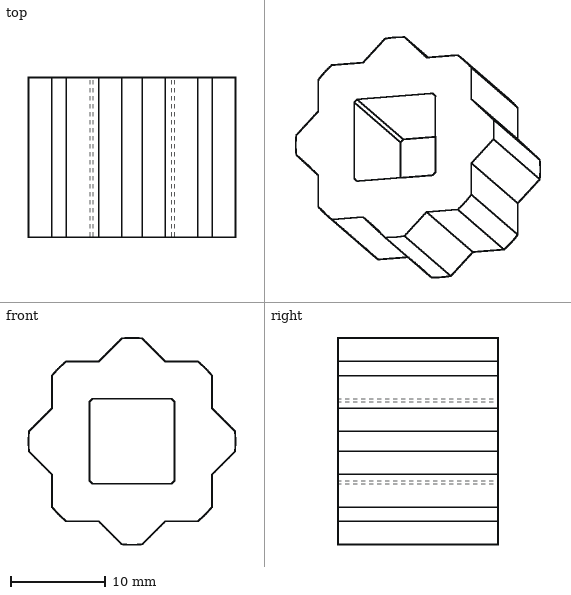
import cadquery as cq

LENGTH = 17.0
SQUARE_SIDE = 17.0
OUTER_DIAMETER = 22.0
BORE_SIDE = 9.0
BORE_DIAMETER = 12.3

SQUARE_TURN = 45.0


def profile_plane():
    """XZ sketch plane on the +Y end, so that extruding runs toward -Y."""
    return cq.Workplane("XZ", origin=(0, LENGTH / 2, 0))


def square_bar(side, turn=0.0):
    """Square bar along Y, turned about the Y axis."""
    bar = profile_plane().rect(side, side).extrude(LENGTH)
    return bar.rotate((0, 0, 0), (0, 1, 0), turn)


def round_bar(diameter):
    """Round bar along Y."""
    return profile_plane().circle(diameter / 2).extrude(LENGTH)


def star_body():
    """Two crossed square bars with their corners trimmed round."""
    star = square_bar(SQUARE_SIDE).union(square_bar(SQUARE_SIDE, SQUARE_TURN))
    return star.intersect(round_bar(OUTER_DIAMETER))


def square_bore():
    """Square through hole with its corners trimmed round."""
    return square_bar(BORE_SIDE).intersect(round_bar(BORE_DIAMETER))


result = star_body().cut(square_bore())